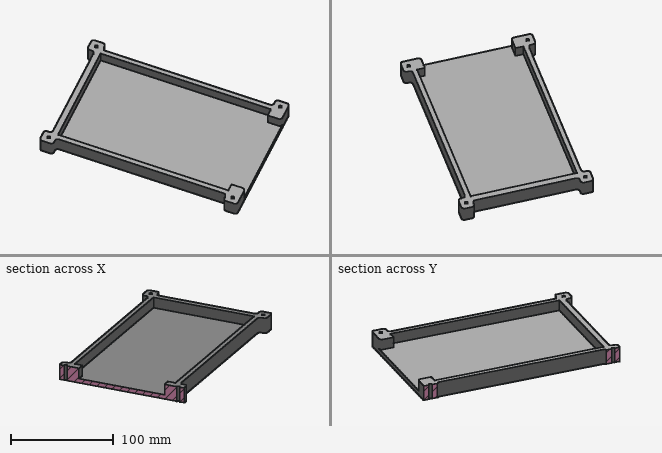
import cadquery as cq

length = 208.0
width = 134.0
height = 16.0

floor_thickness = 5.0
side_wall = 5.0
end_wall = 6.5

ear_overhang = 8.0
ear_length = ear_overhang + end_wall
ear_width = ear_overhang + side_wall
block_width = 21.0
corner_radius = 3.0
hole_diameter = 3.0

x_max = length / 2
y_max = width / 2
tray_x_min = -x_max + ear_overhang
tray_y_max = y_max - ear_overhang
cavity_x_min = tray_x_min + end_wall
cavity_y_max = tray_y_max - side_wall
block_x_min = x_max - ear_length
block_y_min = y_max - block_width
hole_x = x_max - ear_length / 2
hole_y = y_max - ear_width / 2


def box(x_start, x_end, y_start, y_end, z_start=0.0):
    """Box between the given X and Y limits, from z_start to the top."""
    size = (x_end - x_start, y_end - y_start, height - z_start)
    return cq.Workplane("XY").box(*size, centered=False).translate((x_start, y_start, z_start))


def round_edges(body, points):
    """Round the vertical edges that pass through the given XY points."""
    for x, y in points:
        edge = cq.selectors.NearestToPointSelector((x, y, height / 2))
        body = body.edges("|Z").edges(edge).fillet(corner_radius)
    return body


def make_outer_body():
    """Solid tray with an ear at each corner and rounded outer corners."""
    body = box(tray_x_min, x_max, -tray_y_max, tray_y_max)
    for x_start in (-x_max, block_x_min):
        for y_start in (-y_max, y_max - ear_width):
            body = body.union(box(x_start, x_start + ear_length, y_start, y_start + ear_width))
    corners = []
    for side in (-1, 1):
        corners += [
            (-x_max, side * y_max),
            (-x_max, side * cavity_y_max),
            (tray_x_min, side * cavity_y_max),
            (cavity_x_min, side * y_max),
            (cavity_x_min, side * tray_y_max),
            (block_x_min, side * tray_y_max),
            (block_x_min, side * y_max),
            (x_max, side * y_max),
        ]
    return round_edges(body, corners)


def make_cavity():
    """Pocket open at the +X end, narrowed there by the two blocks."""
    cavity = box(cavity_x_min, block_x_min, -cavity_y_max, cavity_y_max, floor_thickness)
    opening = box(block_x_min, x_max, -block_y_min, block_y_min, floor_thickness)
    for side in (-1, 1):
        corner_x = x_max - corner_radius
        corner_y = side * block_y_min
        flare = (
            cq.Workplane("XY", origin=(0, 0, floor_thickness))
            .moveTo(corner_x, corner_y)
            .lineTo(x_max, corner_y)
            .lineTo(x_max, corner_y + side * corner_radius)
            .radiusArc((corner_x, corner_y), side * corner_radius)
            .close()
            .extrude(height - floor_thickness)
        )
        opening = opening.union(flare)
    return cavity.union(opening)


def make_holes():
    """Vertical through holes at the centres of the four ears."""
    return (
        cq.Workplane("XY")
        .rect(2 * hole_x, 2 * hole_y, forConstruction=True)
        .vertices()
        .circle(hole_diameter / 2)
        .extrude(height)
    )


result = make_outer_body().cut(make_cavity()).cut(make_holes())